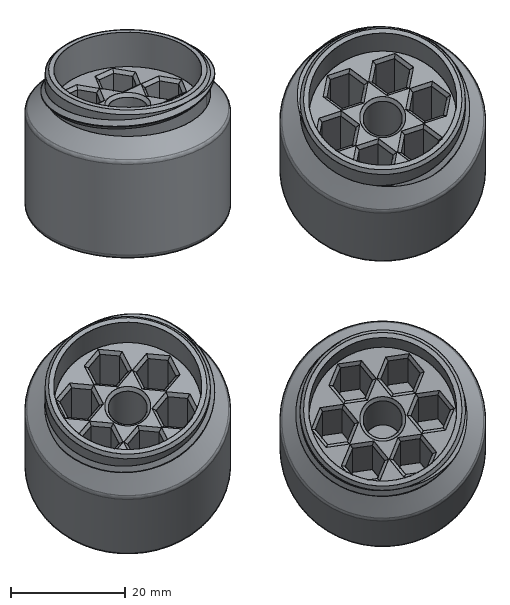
import cadquery as cq
import math

body_diameter = 36.0
total_height = 28.0
edge_radius = 1.0

neck_diameter = 28.9
neck_height = 5.0
shoulder_height = 3.15
rim_chamfer = 0.6

thread_pitch = 7.5
thread_height = 0.75
thread_base = 1.85
thread_crest = 0.15
thread_overlap = 0.18
thread_start_angle = 110
thread_sweep_angle = 320
crest_below_rim = 1.0

bore_diameter = 25.85
bore_depth = 7.0

pocket_depth = 18.0
pocket_chamfer = 0.6
mouth_taper = 45
round_pocket_diameter = 6.8
hex_sides = 6
hex_pocket_flats = 6.0
hex_pocket_count = 6
hex_pitch_radius = 8.45

body_radius = body_diameter / 2
neck_radius = neck_diameter / 2
neck_base_z = total_height - neck_height
thread_top_z = total_height - rim_chamfer
shoulder_base_z = neck_base_z - shoulder_height
bore_floor_z = total_height - bore_depth


def make_body():
    """Turned outer shape with rounded bottom and shoulder edges."""
    cylinder = cq.Workplane("XY").circle(body_radius).extrude(shoulder_base_z)
    shoulder = (
        cq.Workplane("XZ")
        .moveTo(0, shoulder_base_z)
        .lineTo(body_radius, shoulder_base_z)
        .lineTo(neck_radius, neck_base_z)
        .lineTo(0, neck_base_z)
        .close()
        .revolve(360, (0, 0, 0), (0, 1, 0))
    )
    sharp = cylinder.union(shoulder)
    widest_edges = cq.selectors.RadiusNthSelector(-1)
    rounded = sharp.edges(widest_edges).fillet(edge_radius)
    neck = (
        cq.Workplane("XY", origin=(0, 0, neck_base_z))
        .circle(neck_radius)
        .extrude(neck_height)
        .faces(">Z")
        .chamfer(rim_chamfer)
    )
    return rounded.union(neck)


def make_thread():
    """Helical ridge of trapezoidal section, cut flat at the neck base and below the rim chamfer."""
    rise = thread_pitch * thread_sweep_angle / 360
    start_drop = thread_pitch * (360 - thread_start_angle) / 360
    start_z = total_height - crest_below_rim - start_drop
    root_radius = neck_radius - thread_overlap
    crest_radius = neck_radius + thread_height
    flank_run = (thread_base - thread_crest) / 2 / thread_height
    root_half_width = thread_base / 2 + thread_overlap * flank_run
    crest_half_width = thread_crest / 2
    section = [
        (root_radius, -root_half_width),
        (crest_radius, -crest_half_width),
        (crest_radius, crest_half_width),
        (root_radius, root_half_width),
    ]
    helix = cq.Workplane(cq.Wire.makeHelix(thread_pitch, rise, neck_radius))
    ridge = (
        cq.Workplane("XZ")
        .polyline(section)
        .close()
        .sweep(helix, isFrenet=True)
        .rotate((0, 0, 0), (0, 0, 1), thread_start_angle)
        .translate((0, 0, start_z))
    )
    clip = (
        cq.Workplane("XY", origin=(0, 0, neck_base_z))
        .circle(body_radius)
        .extrude(thread_top_z - neck_base_z)
    )
    return ridge.intersect(clip)


def chamfered_pocket(outline):
    """Cutter for a pocket below the recess floor, flared at its mouth.

    outline(offset) gives the pocket outline, grown outwards by offset.
    """
    shaft = outline(0).extrude(-pocket_depth)
    mouth = outline(pocket_chamfer).extrude(-pocket_chamfer, taper=mouth_taper)
    return shaft.union(mouth)


def floor_plane():
    """Workplane on the recess floor."""
    return cq.Workplane("XY", origin=(0, 0, bore_floor_z))


def round_outline(offset):
    return floor_plane().circle(round_pocket_diameter / 2 + offset)


def hex_outline(offset):
    flats = hex_pocket_flats + 2 * offset
    return floor_plane().polygon(hex_sides, flats / math.cos(math.pi / hex_sides))


result = make_body().union(make_thread())
result = result.cut(floor_plane().circle(bore_diameter / 2).extrude(bore_depth))
result = result.cut(chamfered_pocket(round_outline))

hex_pocket = chamfered_pocket(hex_outline).translate((hex_pitch_radius, 0, 0))
for index in range(hex_pocket_count):
    result = result.cut(hex_pocket.rotate((0, 0, 0), (0, 0, 1), index * 360 / hex_pocket_count))